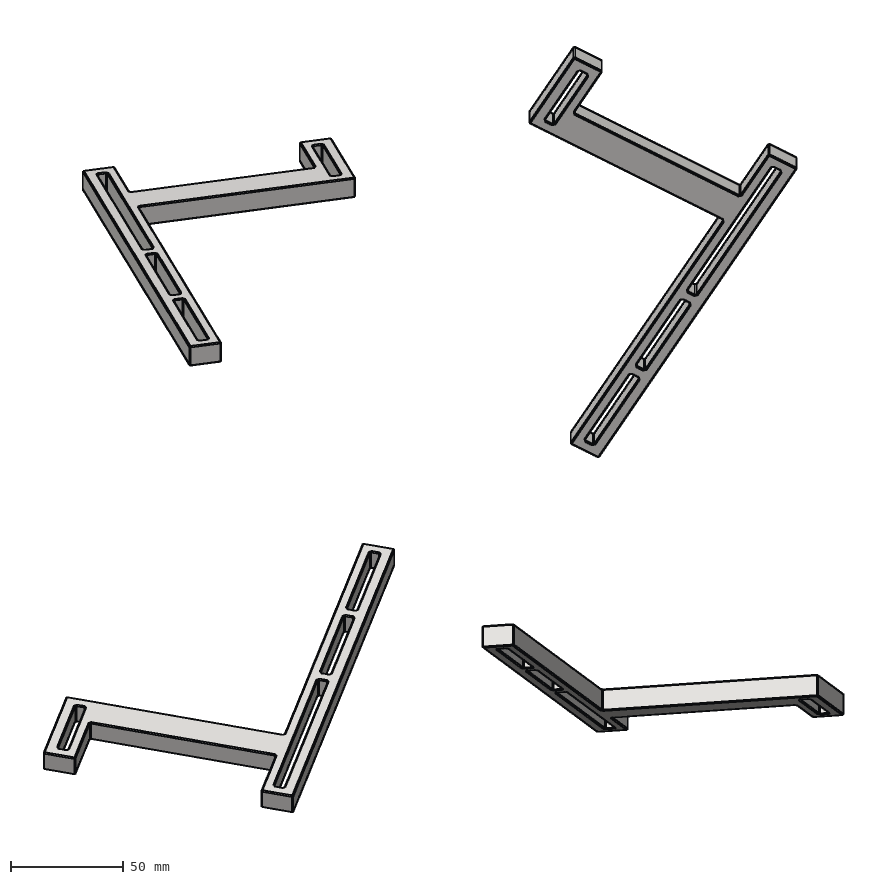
import cadquery as cq

length = 175.0
depth = 115.0
thickness = 10.0

bar_width = 14.7
foot_length = 39.9
edge_break = 0.55

slot_width = 4.5
slot_side_wall = 5.5
slot_end_wall = 4.9
long_slot_length = 75.0

short_slot_length = (length - long_slot_length - 4 * slot_end_wall) / 2
foot_slot_length = foot_length - 2 * slot_end_wall
bar_slot_y = slot_side_wall
foot_slot_y = depth - slot_side_wall - slot_width


def block(x_start, y_start, x_size, y_size):
    """Block of full thickness, placed by its left front corner."""
    return cq.Workplane("XY").box(x_size, y_size, thickness, centered=False).translate((x_start, y_start, 0))


def slot(x_start, y_start, slot_length):
    """Straight rectangular cutter that passes through the full thickness."""
    return block(x_start, y_start, slot_length, slot_width)


long_bar = block(0, 0, length, bar_width)
arm = block(foot_length - bar_width, 0, bar_width, depth)
foot = block(0, depth - bar_width, foot_length, bar_width)
frame = long_bar.union(arm).union(foot).clean()

slot_start = slot_end_wall
for slot_length in (long_slot_length, short_slot_length, short_slot_length):
    frame = frame.cut(slot(slot_start, bar_slot_y, slot_length))
    slot_start += slot_length + slot_end_wall

frame = frame.cut(slot(slot_end_wall, foot_slot_y, foot_slot_length))

result = frame.edges().chamfer(edge_break)